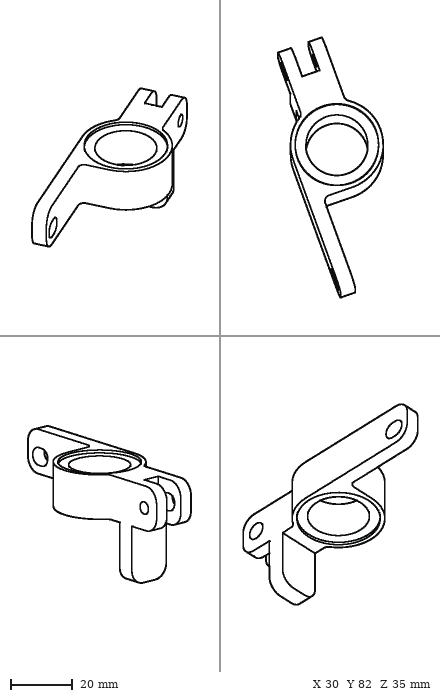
import cadquery as cq

wall = 5.0
height = 3 * wall
ring_diameter = 30.0
bore_diameter = 20.0
seat_diameter = 27.0
seat_depth = 1.0
front_end = -46.0
back_end = 36.0
end_radius = wall
corner_radius = 2.0

fork_width = 3 * wall
fork_gap = 6.0
fork_depth = 11.0
pin_y = back_end - 6.0
pin_z = height / 2
pin_clearance_diameter = 6.0
pin_diameter = 4.1

slot_width = 6.0
slot_length = 7.2
slot_y = front_end + 6.0
slot_z = 5.9

tab_thickness = 6.0
tab_drop = 20.0
tab_back = back_end - 12.0

ring_radius = ring_diameter / 2


def box(x_range, y_range, z_range):
    """Box spanning the given limits along each axis."""
    ranges = (x_range, y_range, z_range)
    sizes = [high - low for low, high in ranges]
    corner = tuple(low for low, high in ranges)
    return cq.Workplane("XY").box(*sizes, centered=False).translate(corner)


def cross_plane(x, y, z):
    """Plane facing +X, with its local axes along Y and Z."""
    return cq.Workplane("YZ", origin=(x, y, z))


def make_body():
    """Ring, fork block and lever arm joined with blended inner corners."""
    ring = cq.Workplane("XY").circle(ring_radius).extrude(height)
    fork = box((-fork_width / 2, fork_width / 2), (0, back_end), (0, height))
    fork = fork.edges("|X and >Y").fillet(end_radius)
    arm = box((-ring_radius, -ring_radius + wall), (front_end, 0), (0, height))
    arm = arm.edges("|X and <Y").fillet(end_radius)
    web = box((-ring_radius, 0), (-ring_radius, 0), (0, height))
    body = ring.union(fork).union(arm).union(web)

    fork_root_y = (ring_radius**2 - (fork_width / 2) ** 2) ** 0.5
    inner_corners = (
        (-fork_width / 2, fork_root_y),
        (fork_width / 2, fork_root_y),
        (-ring_radius + wall, -ring_radius),
    )
    for x, y in inner_corners:
        body = body.edges(cq.NearestToPointSelector((x, y, height / 2))).fillet(corner_radius)
    return body


def make_tab():
    """Plate hanging below the fork block, with rounded lower corners."""
    tab = box(
        (-fork_width / 2, fork_width / 2),
        (tab_back - tab_thickness, tab_back),
        (-tab_drop, height / 2),
    )
    return tab.edges("|Y and <Z").fillet(end_radius)


def cut_bore(body):
    """Through bore with a shallow seat in the top and bottom faces."""
    bore = cq.Workplane("XY").circle(bore_diameter / 2).extrude(height)
    body = body.cut(bore)
    for seat_floor in (0, height - seat_depth):
        seat = cq.Workplane("XY", origin=(0, 0, seat_floor)).circle(seat_diameter / 2).extrude(seat_depth)
        body = body.cut(seat)
    return body


def cut_fork(body):
    """Gap between the tines, with a wide pin hole in the -X tine and a narrow one in the +X tine."""
    gap = box((-fork_gap / 2, fork_gap / 2), (back_end - fork_depth, back_end), (0, height))
    half_width = fork_width / 2
    wide_hole = cross_plane(-half_width, pin_y, pin_z).circle(pin_clearance_diameter / 2).extrude(half_width)
    narrow_hole = cross_plane(0, pin_y, pin_z).circle(pin_diameter / 2).extrude(half_width)
    return body.cut(gap).cut(wide_hole).cut(narrow_hole)


def cut_arm_slot(body):
    """Oblong hole near the free end of the lever arm."""
    slot = cross_plane(-ring_radius, slot_y, slot_z).slot2D(slot_length, slot_width).extrude(wall)
    return body.cut(slot)


result = make_body().union(make_tab())
result = cut_bore(result)
result = cut_fork(result)
result = cut_arm_slot(result)